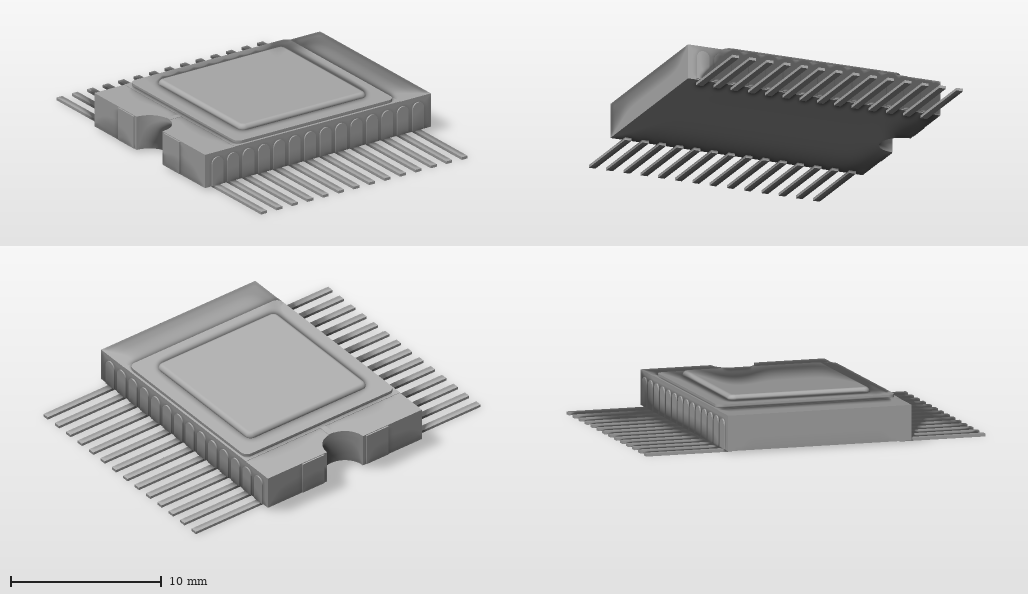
import cadquery as cq

overall_x = 23.75
base_x = 12.85
base_y = 18.29
base_center_y = 0.05
base_height = 2.4
base_front_y = base_center_y - base_y / 2

frame_y = 13.35
frame_height = 0.02
strip_width = 0.43

notch_radius = 1.5

pad_thickness = 0.1
pad_margin = 0.05
end_pad_inner_x = 1.75
end_pad_width = 1.8
side_pad_width = 0.9
side_pad_top_z = 2.05

leads_per_side = 14
lead_row_length = 16.25
lead_pitch = lead_row_length / (leads_per_side - 1)
lead_length = 5.98
lead_width = 0.48
lead_thickness = 0.2

flange_x = 12.5
flange_y = 12.82
flange_corner = 0.5
flange_height = 0.21
panel_inset = 1.28
panel_height = 0.33
panel_corner = 0.45
panel_round = 0.3

lid_seat_z = base_height + frame_height
lead_ys = [-lead_row_length / 2 + i * lead_pitch for i in range(leads_per_side)]


def block(size_x, size_y, size_z, center_x, center_y, bottom_z):
    """A box centred in X and Y that stands on bottom_z."""
    return cq.Workplane("XY").box(size_x, size_y, size_z, centered=(True, True, False)).translate(
        (center_x, center_y, bottom_z)
    )


def make_bonding_frame():
    """Band across the top of the base, and the strip from it to the -Y end."""
    band = block(base_x, frame_y, frame_height, 0, 0, base_height)
    strip_length = -frame_y / 2 - base_front_y
    strip_y = base_front_y + strip_length / 2
    return band.union(block(strip_width, strip_length, frame_height, 0, strip_y, base_height))


def make_end_pad(side):
    """Pad on the -Y end, beside the notch."""
    center_x = side * (end_pad_inner_x + end_pad_width / 2)
    center_y = base_front_y - pad_thickness / 2
    pad_height = base_height - 2 * pad_margin
    return block(end_pad_width, pad_thickness, pad_height, center_x, center_y, pad_margin)


def make_side_pad(side, y):
    """Pad with a half-round top on a side wall, above one lead."""
    radius = side_pad_width / 2
    return (
        cq.Workplane("YZ", origin=(side * base_x / 2, y, 0))
        .moveTo(-radius, pad_margin)
        .lineTo(-radius, side_pad_top_z - radius)
        .threePointArc((0, side_pad_top_z), (radius, side_pad_top_z - radius))
        .lineTo(radius, pad_margin)
        .close()
        .extrude(side * pad_thickness)
    )


def make_lead(side, y):
    """Flat lead under the base, reaching out to the overall width."""
    center_x = side * (overall_x - lead_length) / 2
    return block(lead_length, lead_width, lead_thickness, center_x, y, -lead_thickness)


def make_package():
    """Base with its frame, notch, pads and soldered leads."""
    package = block(base_x, base_y, base_height, 0, base_center_y, 0).union(make_bonding_frame())
    notch = cq.Workplane("XY").center(0, base_front_y).circle(notch_radius).extrude(lid_seat_z)
    package = package.cut(notch)
    for side in (-1, 1):
        package = package.union(make_end_pad(side))
        for y in lead_ys:
            package = package.union(make_side_pad(side, y))
            package = package.union(make_lead(side, y))
    return package


def make_lid():
    """Flange with rounded corners, carrying the raised panel."""
    flange = block(flange_x, flange_y, flange_height, 0, 0, lid_seat_z)
    flange = flange.edges("|Z").fillet(flange_corner)
    panel_x = flange_x - 2 * panel_inset
    panel_y = flange_y - 2 * panel_inset
    panel = block(panel_x, panel_y, panel_height, 0, 0, lid_seat_z + flange_height)
    panel = panel.edges("|Z").fillet(panel_corner)
    panel = panel.faces(">Z").edges().fillet(panel_round)
    return flange.union(panel)


package = make_package()
lid = make_lid()

result = cq.Compound.makeCompound([package.val(), lid.val()])